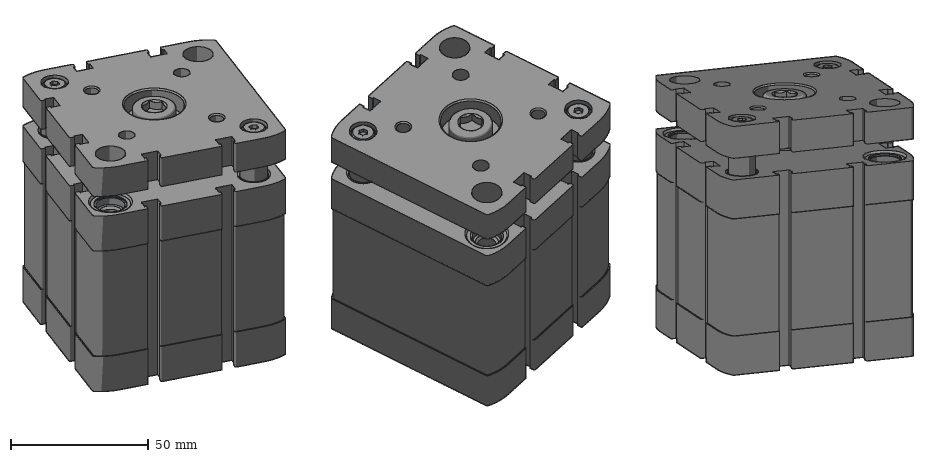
import cadquery as cq
import math

SIDE = 75.5
TOTAL_HEIGHT = 94.0
PLATE_THICKNESS = 12.0
GAP = 8.2
CAP_HEIGHT = 14.8
BARREL_INSET = 0.5

CORNER_RADIUS = 20.0
CORNER_START = 28.2
CORNER_EDGE_RADIUS = 1.2

SLOT_OFFSET = 14.5
SLOT_WIDTH = 6.4
SLOT_MOUTH = 5.1
SLOT_DEPTH = 5.3
SLOT_LIP = 2.0
SLOT_MOUTH_ROUND = 0.4

ROD_DIAMETER = 16.0
ROD_FLATS = 13.0
FLAT_START = 1.7
FLAT_RUNOUT = 0.8
GUIDE_OFFSET = 28.0
GUIDE_DIAMETER = 10.0
GUIDE_CLEARANCE = 10.6
GUIDE_SEAT_DIAMETER = 12.0
GUIDE_SEAT_DEPTH = 0.3
ROD_DEPTH = 28.2

BORE_DIAMETER = 22.0
BORE_DEPTH = 7.0
BORE_CHAMFER = 0.6
BOLT_DIAMETER = 16.0
BOLT_HEIGHT = 6.0
BOLT_ROUND = 1.1
BOLT_HEX = 8.0
BOLT_HEX_DEPTH = 3.3
BOLT_HEX_MOUTH = 9.4
BOLT_HEX_MOUTH_DEPTH = 0.75
BOLT_DRILL = 4.9
BOLT_CONE_DROP = 1.4
BOLT_TIP_DROP = 1.9

GUIDE_BORE_DEPTH = 2.0
SCREW_DIAMETER = 8.6
SCREW_HEIGHT = 1.4
SCREW_CHAMFER = 0.5
SCREW_HEX = 3.0
SCREW_HEX_DEPTH = 1.5

ACCESS_DIAMETER = 11.0
MOUNT_OFFSET = 17.6
MOUNT_DIAMETER = 6.0
TAPPED_DIAMETER = 5.0

RECESS_RIM = 16.0
RECESS_FLOOR = 14.7
RECESS_DEPTH = 0.8
STEP_DIAMETER = 12.0
STEP_DEPTH = 1.4
SOCKET_DIAMETER = 10.6
SOCKET_DEPTH = 4.2
CORNER_HOLE = 6.7
CORNER_HOLE_MOUTH = 8.5

HALF = SIDE / 2
HOUSING_TOP = TOTAL_HEIGHT - PLATE_THICKNESS - GAP
PLATE_BOTTOM = HOUSING_TOP + GAP
ROD_END = HOUSING_TOP - ROD_DEPTH
BORE_FLOOR = TOTAL_HEIGHT - BORE_DEPTH
BOLT_TOP = BORE_FLOOR + BOLT_HEIGHT
GUIDE_POINTS = [(-GUIDE_OFFSET, -GUIDE_OFFSET), (GUIDE_OFFSET, GUIDE_OFFSET)]
SOCKET_POINTS = [(-GUIDE_OFFSET, GUIDE_OFFSET), (GUIDE_OFFSET, -GUIDE_OFFSET)]
PLAIN_POINTS = [(-MOUNT_OFFSET, MOUNT_OFFSET), (MOUNT_OFFSET, -MOUNT_OFFSET)]
TAPPED_POINTS = [(-MOUNT_OFFSET, -MOUNT_OFFSET), (MOUNT_OFFSET, MOUNT_OFFSET)]


def cylinder(diameter, bottom, top, point=(0, 0)):
    base = cq.Workplane("XY", origin=(point[0], point[1], bottom))
    return base.circle(diameter / 2).extrude(top - bottom)


def cone(lower_diameter, upper_diameter, bottom, top, point=(0, 0)):
    lower, upper = lower_diameter / 2, upper_diameter / 2
    solid = cq.Solid.makeCone(lower, upper, top - bottom, cq.Vector(point[0], point[1], bottom))
    return cq.Workplane(obj=solid)


def hexagon(across_flats, bottom, top, point=(0, 0)):
    """Hexagonal prism with two of its flats facing -Y and +Y."""
    base = cq.Workplane("XY", origin=(point[0], point[1], bottom))
    return base.polygon(6, across_flats * 2 / math.sqrt(3)).extrude(top - bottom)


def corner_points(inset):
    """Points of one corner: arc start, arc middle, arc end, round middle, round end (first quadrant)."""
    side = HALF - inset
    radius = CORNER_RADIUS - inset
    small = CORNER_EDGE_RADIUS
    arc_x, arc_y = side - radius, CORNER_START
    small_y = side - small
    end_angle = math.asin((small_y - arc_y) / (radius - small))
    small_x = arc_x + (radius - small) * math.cos(end_angle)

    def on_arc(angle):
        return (arc_x + radius * math.cos(angle), arc_y + radius * math.sin(angle))

    def on_round(angle):
        return (small_x + small * math.cos(angle), small_y + small * math.sin(angle))

    quarter = math.pi / 2
    arc = [on_arc(0), on_arc(end_angle / 2), on_arc(end_angle)]
    return arc + [on_round((end_angle + quarter) / 2), on_round(quarter)]


def outline_block(inset, bottom, top):
    """Block with the rounded square outline, without slots."""
    profile = cq.Workplane("XY", origin=(0, 0, bottom))
    first = True
    for x_sign, y_sign in [(1, 1), (-1, 1), (-1, -1), (1, -1)]:
        points = [(x_sign * x, y_sign * y) for x, y in corner_points(inset)]
        if x_sign != y_sign:
            points.reverse()
        profile = profile.moveTo(*points[0]) if first else profile.lineTo(*points[0])
        profile = profile.threePointArc(points[1], points[2]).threePointArc(points[3], points[4])
        first = False
    return profile.close().extrude(top - bottom)


def slot_cutter(inset, bottom, top):
    """Undercut slot in the -Y side, with rounded mouth edges."""
    face = -(HALF - inset)
    lip = -(HALF - SLOT_LIP)
    floor = -(HALF - SLOT_DEPTH)
    mouth, width, r = SLOT_MOUTH / 2, SLOT_WIDTH / 2, SLOT_MOUTH_ROUND
    bow = r * (1 - math.sqrt(0.5))
    profile = (
        cq.Workplane("XY", origin=(0, 0, bottom))
        .moveTo(-mouth - r, face)
        .threePointArc((-mouth - bow, face + bow), (-mouth, face + r))
        .lineTo(-mouth, lip)
        .lineTo(-width, lip)
        .lineTo(-width, floor)
        .lineTo(width, floor)
        .lineTo(width, lip)
        .lineTo(mouth, lip)
        .lineTo(mouth, face + r)
        .threePointArc((mouth + bow, face + bow), (mouth + r, face))
        .close()
    )
    return profile.extrude(top - bottom)


def slotted_block(inset, bottom, top):
    """Outline block with two slots in each of the -X, -Y and +X sides."""
    block = outline_block(inset, bottom, top)
    slot = slot_cutter(inset, bottom, top)
    for turn in (-90, 0, 90):
        for offset in (-SLOT_OFFSET, SLOT_OFFSET):
            block = block.cut(slot.translate((offset, 0, 0)).rotate((0, 0, 0), (0, 0, 1), turn))
    return block


def cut_corner_socket(housing, point):
    """Through hole with a countersink at the floor of a stepped socket, under a shallow conical recess."""
    recess_floor = HOUSING_TOP - RECESS_DEPTH
    socket_floor = HOUSING_TOP - SOCKET_DEPTH
    sink = (CORNER_HOLE_MOUTH - CORNER_HOLE) / 2
    housing = housing.cut(cone(RECESS_FLOOR, RECESS_RIM, recess_floor, HOUSING_TOP, point))
    housing = housing.cut(cylinder(STEP_DIAMETER, HOUSING_TOP - STEP_DEPTH, HOUSING_TOP, point))
    housing = housing.cut(cylinder(SOCKET_DIAMETER, socket_floor, HOUSING_TOP, point))
    housing = housing.cut(cone(CORNER_HOLE, CORNER_HOLE_MOUTH, socket_floor - sink, socket_floor, point))
    return housing.cut(cylinder(CORNER_HOLE, 0, HOUSING_TOP, point))


def make_housing():
    housing = slotted_block(0, 0, CAP_HEIGHT)
    housing = housing.union(slotted_block(BARREL_INSET, CAP_HEIGHT, HOUSING_TOP - CAP_HEIGHT))
    housing = housing.union(slotted_block(0, HOUSING_TOP - CAP_HEIGHT, HOUSING_TOP))
    housing = housing.cut(cylinder(ROD_DIAMETER, ROD_END, HOUSING_TOP))
    seat_floor = HOUSING_TOP - GUIDE_SEAT_DEPTH
    for point in GUIDE_POINTS:
        housing = housing.cut(cylinder(GUIDE_CLEARANCE, ROD_END, HOUSING_TOP, point))
        housing = housing.cut(cylinder(GUIDE_SEAT_DIAMETER, seat_floor, HOUSING_TOP, point))
    for point in SOCKET_POINTS:
        housing = cut_corner_socket(housing, point)
    return housing


def make_piston_rod():
    """Round rod with two wrench flats that run out on a slope."""
    rod = cylinder(ROD_DIAMETER, ROD_END, PLATE_BOTTOM)
    inner, outer = ROD_FLATS / 2, ROD_DIAMETER / 2
    flat_bottom = HOUSING_TOP + FLAT_START
    for sign in (-1, 1):
        flat = (
            cq.Workplane("YZ", origin=(-outer, 0, 0))
            .polyline([
                (sign * inner, flat_bottom),
                (sign * outer, flat_bottom - FLAT_RUNOUT),
                (sign * outer, PLATE_BOTTOM),
                (sign * inner, PLATE_BOTTOM),
            ])
            .close()
            .extrude(ROD_DIAMETER)
        )
        rod = rod.cut(flat)
    return rod


def make_bolt_head():
    """Solid bolt head with a rounded rim, standing on the floor of the plate bore."""
    head = cylinder(BOLT_DIAMETER, BORE_FLOOR, BOLT_TOP)
    return head.faces(">Z").edges().fillet(BOLT_ROUND)


def cut_bolt_socket(body):
    """Countersunk hexagon socket whose conical floor narrows to a drill point."""
    floor = BOLT_TOP - BOLT_HEX_DEPTH
    drill_top = floor - BOLT_CONE_DROP
    corner_diameter = BOLT_HEX * 2 / math.sqrt(3)
    floor_cone = cone(BOLT_DRILL, corner_diameter, drill_top, floor)
    body = body.cut(hexagon(BOLT_HEX, floor, BOLT_TOP))
    body = body.cut(cone(BOLT_HEX, BOLT_HEX_MOUTH, BOLT_TOP - BOLT_HEX_MOUTH_DEPTH, BOLT_TOP))
    body = body.cut(floor_cone.intersect(hexagon(BOLT_HEX, drill_top, floor)))
    return body.cut(cone(0, BOLT_DRILL, drill_top - BOLT_TIP_DROP, drill_top))


def make_guide_screw(point):
    """Chamfered screw head with a small hexagon socket."""
    bottom = TOTAL_HEIGHT - GUIDE_BORE_DEPTH
    top = bottom + SCREW_HEIGHT
    screw = cylinder(SCREW_DIAMETER, bottom, top, point).faces(">Z").edges().chamfer(SCREW_CHAMFER)
    return screw.cut(hexagon(SCREW_HEX, top - SCREW_HEX_DEPTH, top, point))


def cut_plate_holes(plate):
    """Plain and tapped mounting holes, and clear holes above the corner sockets of the housing."""
    sink = (MOUNT_DIAMETER - TAPPED_DIAMETER) / 2
    for point in PLAIN_POINTS:
        plate = plate.cut(cylinder(MOUNT_DIAMETER, PLATE_BOTTOM, TOTAL_HEIGHT, point))
    for point in TAPPED_POINTS:
        plate = plate.cut(cylinder(TAPPED_DIAMETER, PLATE_BOTTOM, TOTAL_HEIGHT, point))
        plate = plate.cut(cone(TAPPED_DIAMETER, MOUNT_DIAMETER, TOTAL_HEIGHT - sink, TOTAL_HEIGHT, point))
    for point in SOCKET_POINTS:
        plate = plate.cut(cylinder(ACCESS_DIAMETER, PLATE_BOTTOM, TOTAL_HEIGHT, point))
    return plate


def cut_bolt_bore(plate):
    """Chamfered flat-bottomed bore around the bolt head."""
    rim = BORE_DIAMETER + 2 * BORE_CHAMFER
    plate = plate.cut(cylinder(BORE_DIAMETER, BORE_FLOOR, TOTAL_HEIGHT))
    return plate.cut(cone(BORE_DIAMETER, rim, TOTAL_HEIGHT - BORE_CHAMFER, TOTAL_HEIGHT))


def make_yoke():
    yoke = slotted_block(0, PLATE_BOTTOM, TOTAL_HEIGHT)
    yoke = cut_plate_holes(yoke)
    yoke = cut_bolt_bore(yoke)
    yoke = yoke.union(make_bolt_head()).union(make_piston_rod())
    yoke = cut_bolt_socket(yoke)
    for point in GUIDE_POINTS:
        yoke = yoke.cut(cylinder(GUIDE_DIAMETER, TOTAL_HEIGHT - GUIDE_BORE_DEPTH, TOTAL_HEIGHT, point))
        yoke = yoke.union(cylinder(GUIDE_DIAMETER, ROD_END, PLATE_BOTTOM, point))
        yoke = yoke.union(make_guide_screw(point))
    return yoke


housing = make_housing()
yoke = make_yoke()
result = cq.Compound.makeCompound([housing.val(), yoke.val()])